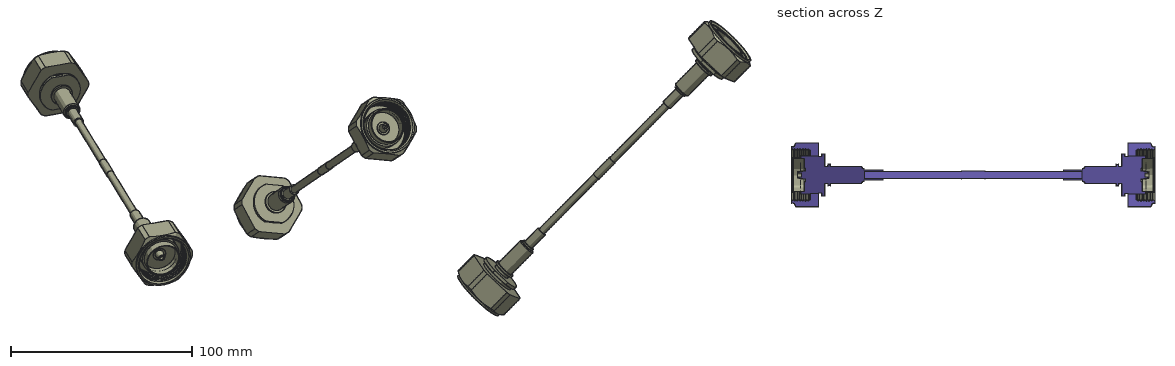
import cadquery as cq
import math

OVERALL_LENGTH = 200.5
HALF_LENGTH = OVERALL_LENGTH / 2

NUT_SIDES = 6
NUT_FLATS = 31.9
NUT_CORNERS = 35.3
NUT_LENGTH = 15.0
LIP_RADIUS = 15.6
LIP_LENGTH = 1.2
CORNER_CHAMFER_ANGLE = 30.0
THREAD_RADIUS = 13.6
THREAD_CHAMFER = 1.0
NUT_CAVITY_DEPTH = 10.5
THREAD_PITCH = 1.5
THREAD_DEPTH = 0.8
THREAD_RINGS = 6

NECK_RADIUS = 10.2
FLANGE_RADIUS = 11.6
FLANGE_FLATS = 21.0
FLANGE_START = 16.6
FLANGE_END = 18.5
BARREL_RADIUS = 4.8
BARREL_END = 39.1
BARREL_CHAMFER = 0.6
COLLAR_RADIUS = 6.0
COLLAR_START = 19.9
COLLAR_END = 21.5
COLLAR_CHAMFER_LENGTH = 0.5
STEP_RADIUS = 3.6
STEP_END = 40.1
FERRULE_RADIUS = 2.8
FERRULE_END = 50.5

SOCKET_FRONT = 0.6
TUBE_RADIUS = 9.6
SHOULDER_START = 5.0
SHOULDER_RADIUS = 10.6
SOCKET_RADIUS = 9.0
SOCKET_CHAMFER = 0.5
SOCKET_FLOOR = 7.0
PIN_BASE_RADIUS = 2.5
PIN_TIP_RADIUS = 1.8
PIN_FRONT = 3.5
PIN_BORE_RADIUS = 1.0
PIN_BORE_DEPTH = 2.0
RECESS_RADIUS = 3.6
RECESS_DEPTH = 0.6

CABLE_RADIUS = 2.0
BAND_RADIUS = 2.2
BAND_LENGTH = 12.8


def cylinder(radius, start, end):
    """Solid cylinder on the X axis between two stations."""
    return cq.Workplane("YZ", origin=(start, 0, 0)).circle(radius).extrude(end - start)


def revolve_profile(points):
    """Revolve a closed outline of (station, radius) points about the X axis."""
    return cq.Workplane("XY").polyline(points).close().revolve(360, (0, 0, 0), (1, 0, 0))


def thread_groove(start):
    """Ring of triangular section that cuts one thread groove into the nut bore."""
    return revolve_profile([
        (start, THREAD_RADIUS),
        (start + THREAD_PITCH / 2, THREAD_RADIUS + THREAD_DEPTH),
        (start + THREAD_PITCH, THREAD_RADIUS),
    ])


def coupling_nut():
    """Hexagonal nut with a round lip, a threaded cavity and a hole for the journal."""
    corner_radius = NUT_CORNERS / 2
    chamfer_length = (corner_radius - LIP_RADIUS) * math.tan(math.radians(CORNER_CHAMFER_ANGLE))
    across_points = NUT_FLATS / math.cos(math.pi / NUT_SIDES)
    hexagon = cq.Workplane("YZ").polygon(NUT_SIDES, across_points).extrude(NUT_LENGTH)
    turned = revolve_profile([
        (0, 0),
        (0, LIP_RADIUS),
        (LIP_LENGTH, LIP_RADIUS),
        (LIP_LENGTH + chamfer_length, corner_radius),
        (NUT_LENGTH, corner_radius),
        (NUT_LENGTH, 0),
    ])
    bore = revolve_profile([
        (0, 0),
        (0, THREAD_RADIUS + THREAD_CHAMFER),
        (THREAD_CHAMFER, THREAD_RADIUS),
        (NUT_CAVITY_DEPTH, THREAD_RADIUS),
        (NUT_CAVITY_DEPTH, NECK_RADIUS),
        (NUT_LENGTH, NECK_RADIUS),
        (NUT_LENGTH, 0),
    ])
    nut = hexagon.intersect(turned).cut(bore)
    for ring in range(THREAD_RINGS):
        nut = nut.cut(thread_groove(THREAD_CHAMFER + ring * THREAD_PITCH))
    return nut


def wrench_flange():
    """Round flange with two opposite flats for a wrench."""
    disc = cylinder(FLANGE_RADIUS, FLANGE_START, FLANGE_END)
    flats = cq.Workplane("XY").box(OVERALL_LENGTH, 2 * FLANGE_RADIUS, FLANGE_FLATS)
    return disc.intersect(flats)


def socket():
    """Space inside the outer contact, shaped around the centre pin."""
    return revolve_profile([
        (SOCKET_FRONT, 0),
        (SOCKET_FRONT, SOCKET_RADIUS + SOCKET_CHAMFER),
        (SOCKET_FRONT + SOCKET_CHAMFER, SOCKET_RADIUS),
        (SOCKET_FLOOR, SOCKET_RADIUS),
        (SOCKET_FLOOR, RECESS_RADIUS),
        (SOCKET_FLOOR + RECESS_DEPTH, RECESS_RADIUS),
        (SOCKET_FLOOR + RECESS_DEPTH, PIN_BASE_RADIUS),
        (PIN_FRONT, PIN_TIP_RADIUS),
        (PIN_FRONT, PIN_BORE_RADIUS),
        (PIN_FRONT + PIN_BORE_DEPTH, PIN_BORE_RADIUS),
        (PIN_FRONT + PIN_BORE_DEPTH, 0),
    ])


def connector_body():
    """Turned body from the mating tube to the ferrule that holds the cable."""
    outer = revolve_profile([
        (SOCKET_FRONT, 0),
        (SOCKET_FRONT, TUBE_RADIUS),
        (SHOULDER_START, TUBE_RADIUS),
        (SHOULDER_START, SHOULDER_RADIUS),
        (NUT_CAVITY_DEPTH, SHOULDER_RADIUS),
        (NUT_CAVITY_DEPTH, NECK_RADIUS),
        (FLANGE_START, NECK_RADIUS),
        (FLANGE_START, BARREL_RADIUS),
        (COLLAR_START, BARREL_RADIUS),
        (COLLAR_START + COLLAR_CHAMFER_LENGTH, COLLAR_RADIUS),
        (COLLAR_END, COLLAR_RADIUS),
        (COLLAR_END, BARREL_RADIUS),
        (BARREL_END - BARREL_CHAMFER, BARREL_RADIUS),
        (BARREL_END, BARREL_RADIUS - BARREL_CHAMFER),
        (BARREL_END, STEP_RADIUS),
        (STEP_END, STEP_RADIUS),
        (STEP_END, FERRULE_RADIUS),
        (FERRULE_END, FERRULE_RADIUS),
        (FERRULE_END, 0),
    ])
    cable_bore = cylinder(CABLE_RADIUS, STEP_END, FERRULE_END)
    return outer.union(wrench_flange()).cut(socket()).cut(cable_bore)


def cable():
    """Cable reaching through both ferrules, with the thicker marker band in the middle."""
    half_cable = HALF_LENGTH - STEP_END
    core = cylinder(CABLE_RADIUS, -half_cable, half_cable)
    band = cylinder(BAND_RADIUS, -BAND_LENGTH / 2, BAND_LENGTH / 2)
    return core.union(band)


def place_at_end(part, turn):
    """Move a connector part to the -X end, then turn it about Z to the wanted end."""
    return part.translate((-HALF_LENGTH, 0, 0)).rotate((0, 0, 0), (0, 0, 1), turn)


bodies = [cable().val()]
for turn in (0, 180):
    bodies.append(place_at_end(coupling_nut(), turn).val())
    bodies.append(place_at_end(connector_body(), turn).val())

result = cq.Compound.makeCompound(bodies)